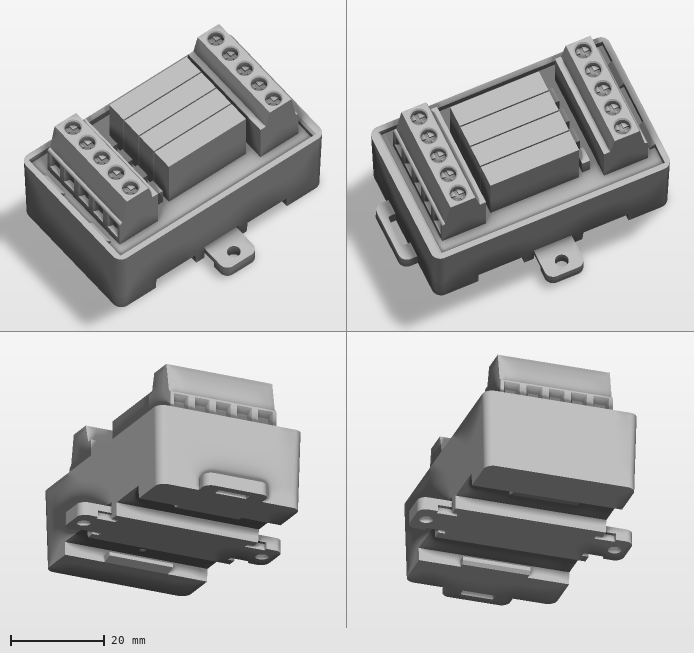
import cadquery as cq
import math

HOUSING_LENGTH = 56.2
HOUSING_WIDTH = 34.9
HOUSING_HEIGHT = 18.1
HOUSING_CORNER_RADIUS = 2.15
WALL_INSET = 0.4

RECESS_WIDTH = 32.25
RECESS_NORTH = 25.8
RECESS_SOUTH = -26.7
RECESS_DEPTH = 1.7
RIM_CHAMFER = 0.55

SNAP_WIDTH = 6.0
SNAP_SPACING = 16.05
SNAP_REACH = 1.3

RAIL_SLOT_HALF = 17.75
RAIL_SLOT_HEIGHT = 3.0
LEG_HALF_TOP = 7.1
LEG_HALF_BASE = 6.85

HOOK_REACH = 2.5
HOOK_TOP = 1.5
HOOK_TIP = 0.65

DOME_Y = -14.7
DOME_RADIUS = 0.85
DOME_DROP = 0.35

EAR_SPAN = 48.6
EAR_WIDTH = 8.9
EAR_HEIGHT = 3.0
EAR_CORNER_RADIUS = 1.95
EAR_HOLE_DIAMETER = 3.0
EAR_HOLE_X = 21.35
EAR_RELIEF_X = 20.2
EAR_RELIEF_HEIGHT = 1.5
EAR_RIB_WIDTH = 7.0
EAR_POCKET_WIDTH = 9.3
EAR_POCKET_RISE = 0.95

CLIP_WIDTH = 15.25
CLIP_HEIGHT = 3.0
CLIP_END = 31.4
CLIP_CORNER_RADIUS = 1.95
CLIP_INSET = 0.1
LOOP_SLOT_WIDTH = 7.7
LOOP_SLOT_START = 27.15
LOOP_SLOT_END = 29.6
LOOP_SLOT_RADIUS = 0.5
LATCH_REACH = 1.85
LATCH_HEIGHT = 1.6
LATCH_CHAMFER = 0.7

BOARD_THICKNESS = 1.5
BOARD_TOP = HOUSING_HEIGHT - RECESS_DEPTH
BOARD_BOTTOM = BOARD_TOP - BOARD_THICKNESS

TERMINAL_WIDTH = 25.4
TERMINAL_TOP = 30.35
TERMINAL_INNER = 13.9
SHOULDER_EDGE = 15.35
SHOULDER_HEIGHT = 26.2
CREST_INNER = 16.5
CREST_OUTER = 22.3
LIP_EDGE = 23.55
LIP_HEIGHT = 23.7
TERMINAL_OUTER = 24.3
LIP_RADIUS = TERMINAL_OUTER - LIP_EDGE

POLE_COUNT = 5
POLE_PITCH = 5.05
SCREW_Y = (CREST_INNER + CREST_OUTER) / 2
SCREW_HOLE_DIAMETER = 4.1
SCREW_HOLE_CHAMFER = 0.3
SCREW_HOLE_DEPTH = 1.7
CROSS_SLOT_WIDTH = 0.85
CROSS_SLOT_DEPTH = 0.5

WINDOW_BOTTOM = 18.2
WINDOW_TOP = LIP_HEIGHT - LIP_RADIUS
WINDOW_WIDTH = 3.6
WINDOW_DEPTH = 1.2
WINDOW_BACK_BOTTOM = 18.45
WINDOW_BACK_TOP = 21.65
WINDOW_BACK_WIDTH = 2.45

RELAY_COUNT = 4
RELAY_PITCH = 5.3
RELAY_WIDTH = 5.0
RELAY_SOUTH = -8.9
RELAY_NORTH = 12.0
RELAY_TOP = 29.0
RELAY_ROW_CENTRE = -0.35
LAMP_WIDTH = 3.5
LAMP_SOUTH = -11.85
LAMP_NORTH = -10.0
LAMP_TOP = 20.35


def block(x_centre, width, y_min, y_max, z_min, z_max):
    """Upright box given by its X centre and width and its Y and Z limits."""
    return cq.Workplane("XY").box(width, y_max - y_min, z_max - z_min).translate(
        (x_centre, (y_min + y_max) / 2, (z_min + z_max) / 2)
    )


def side_prism(points, width, x_centre=0):
    """Prism with a (Y, Z) outline, centred on x_centre."""
    outline = cq.Workplane("YZ").polyline(points).close()
    return outline.extrude(width / 2, both=True).translate((x_centre, 0, 0))


def row_positions(count, pitch, centre=0):
    """X positions of an evenly spaced row."""
    return [centre + (i - (count - 1) / 2) * pitch for i in range(count)]


def drafted_shell():
    draft = math.degrees(math.atan2(WALL_INSET, HOUSING_HEIGHT))
    return (
        cq.Workplane("XY", origin=(0, 0, HOUSING_HEIGHT))
        .rect(HOUSING_WIDTH, HOUSING_LENGTH)
        .extrude(-HOUSING_HEIGHT, taper=draft)
        .edges("not (|X or |Y)")
        .fillet(HOUSING_CORNER_RADIUS)
    )


def board_recess():
    recess = block(0, RECESS_WIDTH, RECESS_SOUTH, RECESS_NORTH, BOARD_BOTTOM, HOUSING_HEIGHT)
    chamfer = side_prism(
        [
            (RECESS_NORTH, HOUSING_HEIGHT - RIM_CHAMFER),
            (RECESS_NORTH + RIM_CHAMFER, HOUSING_HEIGHT),
            (RECESS_NORTH, HOUSING_HEIGHT),
        ],
        RECESS_WIDTH,
    )
    return recess.union(chamfer)


def board_snap(x_centre):
    """Wedge on the -Y recess wall that holds the board down."""
    tip = RECESS_SOUTH + SNAP_REACH
    return side_prism(
        [
            (RECESS_SOUTH, BOARD_TOP),
            (tip, BOARD_TOP),
            (tip, HOUSING_HEIGHT - SNAP_REACH),
            (RECESS_SOUTH, HOUSING_HEIGHT),
        ],
        SNAP_WIDTH,
        x_centre,
    )


def rail_slot(side):
    """Space between the central leg and one end of the housing; side is +1 or -1 along Y."""
    return side_prism(
        [
            (side * LEG_HALF_BASE, 0),
            (side * LEG_HALF_TOP, RAIL_SLOT_HEIGHT),
            (side * RAIL_SLOT_HALF, RAIL_SLOT_HEIGHT),
            (side * RAIL_SLOT_HALF, 0),
        ],
        HOUSING_WIDTH,
    )


def rail_hook():
    root = -RAIL_SLOT_HALF
    tip = root + HOOK_REACH
    return side_prism([(root, 0), (tip, HOOK_TIP), (tip, HOOK_TOP), (root, HOOK_TOP)], CLIP_WIDTH)


def ceiling_dome():
    sphere_radius = (DOME_RADIUS**2 + DOME_DROP**2) / (2 * DOME_DROP)
    centre_z = RAIL_SLOT_HEIGHT - DOME_DROP + sphere_radius
    return cq.Workplane("XY").sphere(sphere_radius).translate((0, DOME_Y, centre_z))


def ear_bar():
    """Bar across the housing whose two ends are the mounting ears."""
    bar = cq.Workplane("XY").box(EAR_SPAN, EAR_WIDTH, EAR_HEIGHT, centered=(True, True, False))
    bar = bar.edges("|Z").fillet(EAR_CORNER_RADIUS)
    holes = cq.Workplane("XY").pushPoints([(-EAR_HOLE_X, 0), (EAR_HOLE_X, 0)])
    bar = bar.cut(holes.circle(EAR_HOLE_DIAMETER / 2).extrude(EAR_HEIGHT))
    relief_width = (EAR_WIDTH - EAR_RIB_WIDTH) / 2
    for side in (-1, 1):
        y_centre = side * (EAR_RIB_WIDTH + relief_width) / 2
        relief = cq.Workplane("XY").box(
            2 * EAR_RELIEF_X, relief_width, EAR_RELIEF_HEIGHT, centered=(True, True, False)
        )
        bar = bar.cut(relief.translate((0, y_centre, 0)))
    return bar


def ear_pocket(side):
    """Clearance in the side wall around one ear, its ceiling sloping down inward."""
    outer = side * HOUSING_WIDTH / 2
    inner = outer - side * 2 * EAR_POCKET_RISE
    outline = cq.Workplane("XZ").polyline(
        [
            (outer, 0),
            (inner, 0),
            (inner, EAR_HEIGHT),
            (outer - side * WALL_INSET, EAR_HEIGHT + EAR_POCKET_RISE),
            (outer, EAR_HEIGHT + EAR_POCKET_RISE),
        ]
    )
    return outline.close().extrude(EAR_POCKET_WIDTH / 2, both=True)


def make_housing(clip):
    """Housing with a passage through its +Y end that fits the clip."""
    housing = drafted_shell().cut(board_recess())
    for x_centre in row_positions(2, SNAP_SPACING):
        housing = housing.union(board_snap(x_centre))
    for side in (-1, 1):
        housing = housing.cut(rail_slot(side)).cut(ear_pocket(side))
    return housing.union(rail_hook()).union(ceiling_dome()).union(ear_bar()).cut(clip)


def make_clip():
    draft = math.degrees(math.atan2(CLIP_INSET, CLIP_HEIGHT))
    trim_length = 2 * CLIP_CORNER_RADIUS
    full_length = CLIP_END - RAIL_SLOT_HALF + trim_length
    clip = (
        cq.Workplane("XY", origin=(0, CLIP_END - full_length / 2, 0))
        .rect(CLIP_WIDTH, full_length)
        .extrude(CLIP_HEIGHT, taper=draft)
        .edges("not (|X or |Y)")
        .fillet(CLIP_CORNER_RADIUS)
    )
    clip = clip.cut(
        block(0, CLIP_WIDTH, RAIL_SLOT_HALF - trim_length, RAIL_SLOT_HALF, 0, CLIP_HEIGHT)
    )
    slot_length = LOOP_SLOT_END - LOOP_SLOT_START
    slot = (
        cq.Workplane("XY", origin=(0, LOOP_SLOT_START + slot_length / 2, CLIP_HEIGHT))
        .rect(LOOP_SLOT_WIDTH, slot_length)
        .extrude(-CLIP_HEIGHT, taper=draft)
        .edges("not (|X or |Y)")
        .fillet(LOOP_SLOT_RADIUS)
    )
    clip = clip.cut(slot)
    tip = RAIL_SLOT_HALF - LATCH_REACH
    latch = side_prism(
        [
            (RAIL_SLOT_HALF, 0),
            (RAIL_SLOT_HALF, LATCH_HEIGHT),
            (tip, LATCH_HEIGHT),
            (tip, LATCH_CHAMFER),
            (tip + LATCH_CHAMFER, 0),
        ],
        CLIP_WIDTH,
    )
    return clip.union(latch)


def terminal_body():
    """Terminal block on the +Y side, without its openings."""
    arc_offset = LIP_RADIUS * math.sqrt(0.5)
    lip_centre_z = LIP_HEIGHT - LIP_RADIUS
    outline = (
        cq.Workplane("YZ")
        .moveTo(TERMINAL_INNER, BOARD_TOP)
        .lineTo(TERMINAL_INNER, SHOULDER_HEIGHT)
        .lineTo(SHOULDER_EDGE, SHOULDER_HEIGHT)
        .lineTo(CREST_INNER, TERMINAL_TOP)
        .lineTo(CREST_OUTER, TERMINAL_TOP)
        .lineTo(LIP_EDGE, LIP_HEIGHT)
        .threePointArc(
            (LIP_EDGE + arc_offset, lip_centre_z + arc_offset), (TERMINAL_OUTER, lip_centre_z)
        )
        .lineTo(TERMINAL_OUTER, BOARD_TOP)
        .close()
    )
    return outline.extrude(TERMINAL_WIDTH / 2, both=True)


def screw_opening(x_centre):
    """Chamfered screw hole ending on a cross-slotted screw head."""
    mouth_radius = SCREW_HOLE_DIAMETER / 2
    bore_radius = mouth_radius - SCREW_HOLE_CHAMFER
    bore = (
        cq.Workplane("XZ")
        .polyline(
            [
                (0, 0),
                (mouth_radius, 0),
                (bore_radius, -SCREW_HOLE_CHAMFER),
                (bore_radius, -SCREW_HOLE_DEPTH),
                (0, -SCREW_HOLE_DEPTH),
            ]
        )
        .close()
        .revolve(360, (0, 0, 0), (0, 1, 0))
    )
    slot_floor = -SCREW_HOLE_DEPTH - CROSS_SLOT_DEPTH
    arm = block(0, CROSS_SLOT_WIDTH, -bore_radius, bore_radius, slot_floor, -SCREW_HOLE_DEPTH)
    cross = arm.union(arm.rotate((0, 0, 0), (0, 0, 1), 90))
    head_disc = cq.Workplane("XY").workplane(offset=slot_floor).circle(bore_radius)
    cross = cross.intersect(head_disc.extrude(CROSS_SLOT_DEPTH))
    return bore.union(cross).translate((x_centre, SCREW_Y, TERMINAL_TOP))


def wire_window(x_centre):
    """Tapered wire entry in the outer face of a terminal block."""
    mouth_height = WINDOW_TOP - WINDOW_BOTTOM
    mouth_z = (WINDOW_TOP + WINDOW_BOTTOM) / 2
    back_height = WINDOW_BACK_TOP - WINDOW_BACK_BOTTOM
    back_z = (WINDOW_BACK_TOP + WINDOW_BACK_BOTTOM) / 2
    return (
        cq.Workplane("XZ", origin=(x_centre, TERMINAL_OUTER, mouth_z))
        .rect(WINDOW_WIDTH, mouth_height)
        .workplane(offset=WINDOW_DEPTH)
        .center(0, back_z - mouth_z)
        .rect(WINDOW_BACK_WIDTH, back_height)
        .loft()
    )


def terminal_block():
    terminal = terminal_body()
    for x_centre in row_positions(POLE_COUNT, POLE_PITCH):
        terminal = terminal.cut(screw_opening(x_centre)).cut(wire_window(x_centre))
    return terminal


def make_circuit_board():
    board = block(0, RECESS_WIDTH, RECESS_SOUTH, RECESS_NORTH, BOARD_BOTTOM, BOARD_TOP)
    terminal = terminal_block()
    board = board.union(terminal).union(terminal.mirror("XZ"))
    for x_centre in row_positions(RELAY_COUNT, RELAY_PITCH, RELAY_ROW_CENTRE):
        relay = block(x_centre, RELAY_WIDTH, RELAY_SOUTH, RELAY_NORTH, BOARD_TOP, RELAY_TOP)
        lamp = block(x_centre, LAMP_WIDTH, LAMP_SOUTH, LAMP_NORTH, BOARD_TOP, LAMP_TOP)
        board = board.union(relay).union(lamp)
    return board


clip = make_clip()
housing = make_housing(clip)
circuit_board = make_circuit_board()

result = cq.Compound.makeCompound([housing.val(), clip.val(), circuit_board.val()])